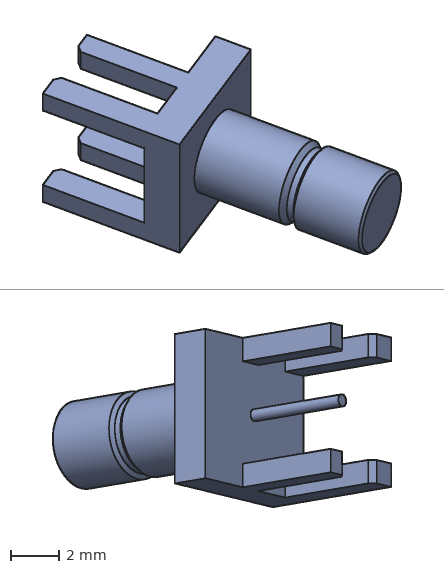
import cadquery as cq

total_length = 14.26
flange_side = 6.35
half_side = flange_side / 2

leg_length = 4.76
flange_thickness = 1.67
flange_end = leg_length + flange_thickness

leg_height = 1.0
upper_leg_outer_y = 0.75
upper_leg_inner_y = -0.25
lower_leg_inner_y = -1.98
leg_chamfer = 0.25

pin_diameter = 0.51
barrel_radius = 3.71 / 2
groove_radius = 3.3 / 2
end_chamfer = 0.11

groove_start = 10.41
groove_floor_start = 10.67
groove_floor_end = 10.97
groove_end = 11.11


def make_flange():
    return (
        cq.Workplane("XY")
        .box(flange_thickness, flange_side, flange_side, centered=(False, True, True))
        .translate((leg_length, 0, 0))
    )


def make_leg(inner_y, outer_y, bottom_z):
    """Leg from the flange to X = 0, with its tip chamfered on the slot side."""
    toward_outer = 1 if outer_y > inner_y else -1
    return (
        cq.Workplane("XY", origin=(0, 0, bottom_z))
        .polyline([
            (flange_end, inner_y),
            (leg_chamfer, inner_y),
            (0, inner_y + toward_outer * leg_chamfer),
            (0, outer_y),
            (flange_end, outer_y),
        ])
        .close()
        .extrude(leg_height)
    )


def make_barrel():
    """Turned barrel with a tapered snap groove and a chamfered free end."""
    return (
        cq.Workplane("XY")
        .polyline([
            (leg_length, 0),
            (leg_length, barrel_radius),
            (groove_start, barrel_radius),
            (groove_floor_start, groove_radius),
            (groove_floor_end, groove_radius),
            (groove_end, barrel_radius),
            (total_length - end_chamfer, barrel_radius),
            (total_length, barrel_radius - end_chamfer),
            (total_length, 0),
        ])
        .close()
        .revolve(360, (0, 0, 0), (1, 0, 0))
    )


def make_pin():
    return cq.Workplane("YZ").circle(pin_diameter / 2).extrude(flange_end)


result = make_flange().union(make_barrel()).union(make_pin())
for leg_bottom_z in (-half_side, half_side - leg_height):
    result = result.union(make_leg(upper_leg_inner_y, upper_leg_outer_y, leg_bottom_z))
    result = result.union(make_leg(lower_leg_inner_y, -half_side, leg_bottom_z))